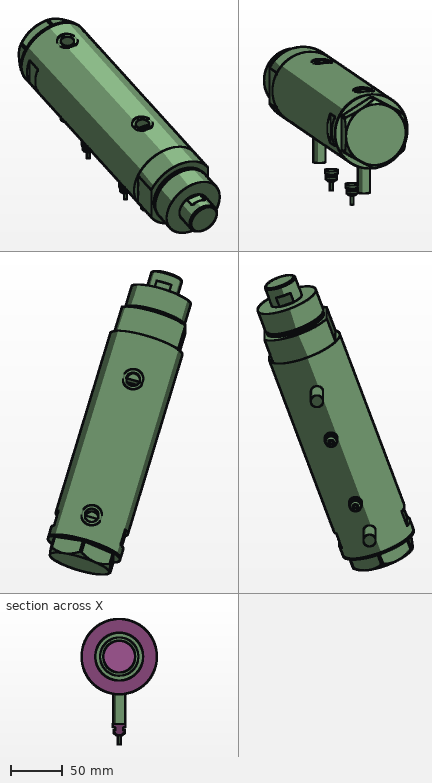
import cadquery as cq
import math


body_radius = 36.5
overall_length = 297.5

hex_flats = 60.0
hex_corner_radius = 34.1
hex_chamfer_length = 3.8
hex_length = 14.9
flange_thickness = 1.5
cap_spigot_radius = 23.0
cap_spigot_end = 42.3

housing_start = hex_length + flange_thickness
housing_end = 227.0
grip_flats = 67.0
grip_start = 26.3
grip_length = 15.5
port_positions = (41.5, 182.2)
port_radius = 6.6
spotface_radius = 10.0
spotface_depth = 1.25
stub_positions = (40.3, 190.8)
stub_radius = 6.0
stub_end = -65.0

shoulder_end = 252.0
shoulder_flats = 64.0
head_spigot_radius = 32.0
head_spigot_start = port_positions[1]
collar_radius = 30.0
collar_end = 277.4
collar_chamfer = 1.0
neck_radius = 28.7
neck_start_radius = 29.3
neck_taper_length = 0.8
collar_start = 255.6

rod_radius = 15.5
rod_chamfer = 1.3
rod_flats = 27.3
rod_flats_end = 287.2
rod_foot_radius = 18.5
rod_foot_length = 20.0

plug_positions = (80.6, 150.3)
plug_top = -65.0
plug_bottom = -85.0
plug_head_radius = 6.3
plug_head_height = 3.0
plug_neck_radius = 4.0
plug_neck_start = 3.8
plug_ring_start = 6.0
plug_ring_radius = 5.4
plug_ring_height = 2.8
plug_tip_start = 11.0
plug_tip_radius = 2.6
plug_stem_radius = 1.6


def x_cylinder(radius, start, end):
    """Cylinder on the main axis between two X positions."""
    return cq.Workplane("YZ", origin=(start, 0, 0)).circle(radius).extrude(end - start)


def x_turned(outline):
    """Turned shape on the main axis from (x, radius) points, closed along the axis."""
    first_x = outline[0][0]
    last_x = outline[-1][0]
    points = [(first_x, 0), *outline, (last_x, 0)]
    return cq.Workplane("XY").polyline(points).close().revolve(360, (0, 0, 0), (1, 0, 0))


def slab(start, end, width_y, width_z):
    """Block centred on the main axis, used to leave a pair of flats."""
    return cq.Workplane("YZ", origin=(start, 0, 0)).rect(width_y, width_z).extrude(end - start)


def with_flats(solid, radius, start, end, flats_y, flats_z):
    """Cut a pair of opposite flats into a round stretch of the given radius."""
    waste = x_cylinder(radius, start, end).cut(slab(start, end, flats_y, flats_z))
    return solid.cut(waste)


def make_cap():
    """Chamfered hexagon, flange and spigot that closes the housing bore."""
    corner_distance = hex_flats / math.cos(math.radians(30))
    hexagon = (
        cq.Workplane("YZ")
        .polygon(6, corner_distance)
        .extrude(hex_length)
        .rotate((0, 0, 0), (1, 0, 0), 90)
    )
    envelope = x_turned([
        (0, hex_flats / 2),
        (hex_chamfer_length, hex_corner_radius),
        (hex_length, hex_corner_radius),
    ])
    flange_and_spigot = x_turned([
        (hex_length, body_radius),
        (housing_start, body_radius),
        (housing_start, cap_spigot_radius),
        (cap_spigot_end, cap_spigot_radius),
    ])
    return hexagon.intersect(envelope).union(flange_and_spigot)


def make_housing():
    """Tube with two ports on top, two stubs below and a pair of grip flats."""
    tube = x_cylinder(body_radius, housing_start, housing_end)
    for x in stub_positions:
        stub = cq.Workplane("XY", origin=(x, 0, stub_end)).circle(stub_radius).extrude(-stub_end)
        tube = tube.union(stub)
    tube = tube.cut(x_cylinder(cap_spigot_radius, housing_start, head_spigot_start))
    tube = tube.cut(x_cylinder(head_spigot_radius, head_spigot_start, housing_end))
    grip_end = grip_start + grip_length
    tube = with_flats(tube, body_radius, grip_start, grip_end, grip_flats, 2 * body_radius)

    for x in port_positions:
        port = cq.Workplane("XY", origin=(x, 0, 0)).circle(port_radius).extrude(body_radius)
        spotface = (
            cq.Workplane("XY", origin=(x, 0, body_radius - spotface_depth))
            .circle(spotface_radius)
            .extrude(spotface_depth)
        )
        tube = tube.cut(port).cut(spotface)
    return tube


def make_head():
    """Rod guide with spigot, flatted shoulder, relief neck and collar."""
    head = x_turned([
        (head_spigot_start, head_spigot_radius),
        (housing_end, head_spigot_radius),
        (housing_end, body_radius),
        (shoulder_end, body_radius),
        (shoulder_end, neck_start_radius),
        (shoulder_end + neck_taper_length, neck_radius),
        (collar_start - collar_chamfer, neck_radius),
        (collar_start, collar_radius),
        (collar_end, collar_radius),
    ])
    head = with_flats(
        head, body_radius, housing_end, shoulder_end, shoulder_flats, 2 * body_radius
    )
    return head.cut(x_cylinder(rod_radius, head_spigot_start, collar_end))


def make_rod():
    """Rod with a thicker foot against the cap and wrench flats behind its tip."""
    foot_end = cap_spigot_end + rod_foot_length
    rod = x_turned([
        (cap_spigot_end, rod_foot_radius),
        (foot_end, rod_foot_radius),
        (foot_end, rod_radius),
        (overall_length - rod_chamfer, rod_radius),
        (overall_length, rod_radius - rod_chamfer),
    ])
    return with_flats(rod, rod_radius, collar_end, rod_flats_end, 2 * rod_radius, rod_flats)


def make_plug(x):
    """Small turned plug with head, neck, ring and stem, pointing down."""
    ring_end = plug_ring_start + plug_ring_height
    outline = [
        (0, plug_top),
        (plug_head_radius, plug_top),
        (plug_head_radius, plug_top - plug_head_height),
        (plug_neck_radius, plug_top - plug_neck_start),
        (plug_neck_radius, plug_top - plug_ring_start),
        (plug_ring_radius, plug_top - plug_ring_start),
        (plug_ring_radius, plug_top - ring_end),
        (plug_tip_radius, plug_top - plug_tip_start),
        (plug_stem_radius, plug_top - plug_tip_start),
        (plug_stem_radius, plug_bottom),
        (0, plug_bottom),
    ]
    plug = cq.Workplane("XZ").polyline(outline).close().revolve(360, (0, 0, 0), (0, 1, 0))
    return plug.translate((x, 0, 0))


cap = make_cap()
housing = make_housing()
head = make_head()
rod = make_rod()
plugs = [make_plug(x) for x in plug_positions]

result = cq.Compound.makeCompound([
    cap.val(),
    housing.val(),
    head.val(),
    rod.val(),
    *[plug.val() for plug in plugs],
])